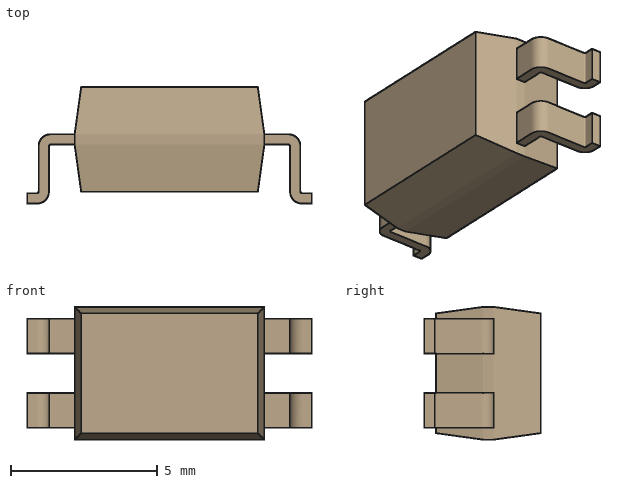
import cadquery as cq

overall_length = 9.75
overall_height = 4.0
housing_length = 6.5
housing_width = 4.55
housing_thickness = 3.6
housing_inset = 0.22

lead_thickness = 0.36
lead_width = 1.2
lead_pitch = 2.54
inner_bend_radius = 0.05
foot_length = 0.39

outer_bend_radius = inner_bend_radius + lead_thickness
half_length = overall_length / 2
half_housing = housing_length / 2
housing_back = overall_height
taper_depth = (housing_thickness - lead_thickness) / 2
band_back = housing_back - taper_depth
band_front = band_back - lead_thickness
upright_outer = half_length - foot_length
upright_inner = upright_outer - lead_thickness


def tapered_half(band_y, end_y):
    """Loft from the full outline at the band to the smaller end face."""
    return (
        cq.Workplane("XZ", origin=(0, band_y, 0))
        .rect(housing_length, housing_width)
        .workplane(offset=band_y - end_y)
        .rect(housing_length - 2 * housing_inset, housing_width - 2 * housing_inset)
        .loft(ruled=True)
    )


def make_housing():
    """Straight middle band with a tapered half on each side."""
    band = (
        cq.Workplane("XZ", origin=(0, band_back, 0))
        .rect(housing_length, housing_width)
        .extrude(lead_thickness)
    )
    back_half = tapered_half(band_back, housing_back)
    front_half = tapered_half(band_front, housing_back - housing_thickness)
    return band.union(back_half).union(front_half)


def make_lead(side, center_z):
    """Gull-wing lead meeting the housing band; side is +1 or -1 along X."""
    outline = (
        cq.Workplane("XY", origin=(0, 0, center_z))
        .moveTo(side * half_housing, band_back)
        .lineTo(side * (upright_outer - outer_bend_radius), band_back)
        .radiusArc((side * upright_outer, band_back - outer_bend_radius), side * outer_bend_radius)
        .lineTo(side * upright_outer, outer_bend_radius)
        .radiusArc((side * (upright_outer + inner_bend_radius), lead_thickness), -side * inner_bend_radius)
        .lineTo(side * half_length, lead_thickness)
        .lineTo(side * half_length, 0)
        .lineTo(side * (upright_inner + outer_bend_radius), 0)
        .radiusArc((side * upright_inner, outer_bend_radius), side * outer_bend_radius)
        .lineTo(side * upright_inner, band_front - inner_bend_radius)
        .radiusArc((side * (upright_inner - inner_bend_radius), band_front), -side * inner_bend_radius)
        .lineTo(side * half_housing, band_front)
        .close()
    )
    return outline.extrude(lead_width / 2, both=True)


housing = make_housing()

leads = []
for side in (-1, 1):
    for row in (-1, 1):
        leads.append(make_lead(side, row * lead_pitch / 2))

result = cq.Compound.makeCompound([housing.val(), *[lead.val() for lead in leads]])